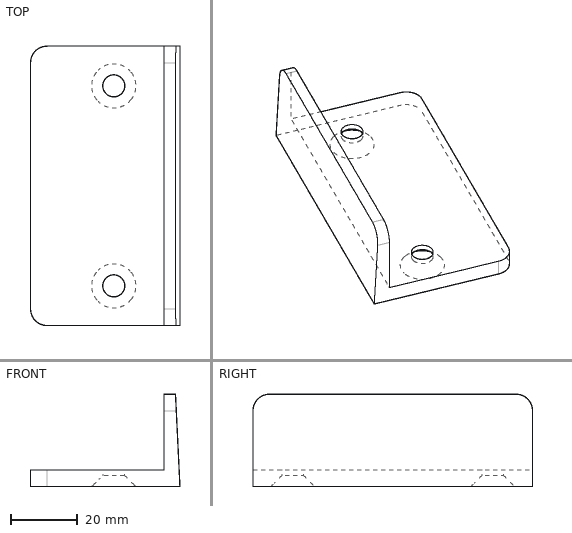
import cadquery as cq

depth = 44.9
length = 83.9
height = 27.8

plate_thickness = 5.0
wall_inner_x = 40.0
wall_top_thickness = 3.5
corner_radius = 5.0

hole_diameter = 6.55
hole_x = 25.0
hole_spacing = 60.0
countersink_depth = 3.35
countersink_diameter = hole_diameter + 2 * countersink_depth


def angle_profile():
    """L-shaped section whose wall tapers on its outer face, extruded along Y."""
    return (
        cq.Workplane("XZ")
        .polyline([
            (0, 0),
            (depth, 0),
            (wall_inner_x + wall_top_thickness, height),
            (wall_inner_x, height),
            (wall_inner_x, plate_thickness),
            (0, plate_thickness),
        ])
        .close()
        .extrude(length / 2, both=True)
    )


def plate_outline():
    """Full-height block with the plate's two free corners rounded."""
    return (
        cq.Workplane("XY")
        .box(depth, length, height, centered=(False, True, False))
        .edges("|Z and <X")
        .fillet(corner_radius)
    )


def wall_outline():
    """Full-depth block with the wall's two top corners rounded along X."""
    return (
        cq.Workplane("XY")
        .box(depth, length, height, centered=(False, True, False))
        .edges("|X and >Z")
        .fillet(corner_radius)
    )


def mounting_holes():
    """Pair of through holes, countersunk from the underside of the plate."""
    centres = [(hole_x, side * hole_spacing / 2) for side in (-1, 1)]
    bores = (
        cq.Workplane("XY")
        .pushPoints(centres)
        .circle(hole_diameter / 2)
        .extrude(plate_thickness)
    )
    countersink = cq.Solid.makeCone(countersink_diameter / 2, hole_diameter / 2, countersink_depth)
    for x, y in centres:
        bores = bores.union(cq.Workplane(countersink.translate(cq.Vector(x, y, 0))))
    return bores


result = (
    angle_profile()
    .intersect(plate_outline())
    .intersect(wall_outline())
    .cut(mounting_holes())
)